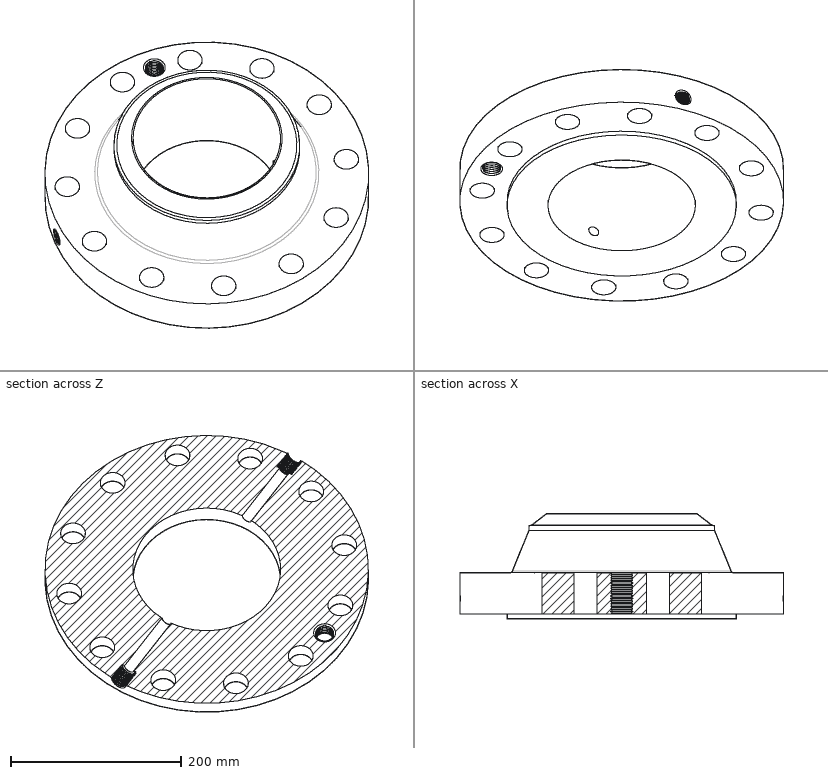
import cadquery as cq

flange_diameter = 381
flange_top = 54.5
raised_face_diameter = 269.7
raised_face_height = 5.7

neck_top = 124.0
bore_diameter = 173.5
hub_base_radius = 129.5
hub_fillet_radius = 3.5
pipe_radius = 109.5
collar_bottom = 104.0
collar_top = 109.7
bevel_base_radius = 106.0
bevel_base = 110.5
weld_land = 2.0

bolt_count = 12
bolt_hole_diameter = 28.5
bolt_circle_radius = 165.5

jack_minor_diameter = 21.5
jack_major_diameter = 25.5
jack_turns = 16

tap_height = 24.0
tap_drill_diameter = 12.5
tap_minor_diameter = 16.8
tap_major_diameter = 21.0
tap_pitch = 2.0
tap_turns = 12


def make_body():
    """Revolve the flange, hub and weld bevel about Z."""
    bore_radius = bore_diameter / 2
    profile = (
        cq.Workplane("XZ")
        .moveTo(bore_radius, 0)
        .lineTo(raised_face_diameter / 2, 0)
        .lineTo(raised_face_diameter / 2, raised_face_height)
        .lineTo(flange_diameter / 2, raised_face_height)
        .lineTo(flange_diameter / 2, flange_top)
        .lineTo(hub_base_radius, flange_top)
        .lineTo(pipe_radius, collar_bottom)
        .lineTo(pipe_radius, collar_top)
        .lineTo(bevel_base_radius, bevel_base)
        .lineTo(bore_radius + weld_land, neck_top)
        .lineTo(bore_radius, neck_top)
        .close()
    )
    body = profile.revolve(360, (0, 0, 0), (0, 1, 0))
    margin = 0.5
    reach = hub_base_radius + margin
    foot_box = cq.selectors.BoxSelector(
        (-reach, -reach, flange_top - margin),
        (reach, reach, flange_top + margin),
        boundingbox=True,
    )
    return body.edges(foot_box).fillet(hub_fillet_radius)


def threaded_cutter(minor_diameter, major_diameter, pitch, turns):
    """Plug along +Z from the origin with ring-shaped V ridges that leave thread grooves."""
    minor_radius = minor_diameter / 2
    major_radius = major_diameter / 2
    outline = cq.Workplane("XZ").lineTo(major_radius, 0)
    for turn in range(turns):
        outline = outline.lineTo(minor_radius, (turn + 0.5) * pitch)
        outline = outline.lineTo(major_radius, (turn + 1) * pitch)
    outline = outline.lineTo(0, turns * pitch).close()
    return outline.revolve(360, (0, 0, 0), (0, 1, 0))


def make_bolt_holes():
    """Bolt holes straddling the X and Y axes."""
    return (
        cq.Workplane("XY")
        .polarArray(bolt_circle_radius, 180 / bolt_count, 360, bolt_count)
        .circle(bolt_hole_diameter / 2)
        .extrude(flange_top)
    )


def make_jack_hole():
    """Threaded hole through the flange on the -X side."""
    flange_thickness = flange_top - raised_face_height
    jack_pitch = flange_thickness / jack_turns
    cutter = threaded_cutter(jack_minor_diameter, jack_major_diameter, jack_pitch, jack_turns)
    return cutter.translate((-bolt_circle_radius, 0, raised_face_height))


def make_taps():
    """Threaded taps in the rim at -Y and +Y, drilled on into the bore."""
    rim = flange_diameter / 2
    thread = threaded_cutter(tap_minor_diameter, tap_major_diameter, tap_pitch, tap_turns)
    front_thread = thread.rotate((0, 0, 0), (1, 0, 0), -90).translate((0, -rim, tap_height))
    back_thread = front_thread.mirror("XZ")
    drill = (
        cq.Workplane("XZ", origin=(0, rim, tap_height))
        .circle(tap_drill_diameter / 2)
        .extrude(flange_diameter)
    )
    return drill.union(front_thread).union(back_thread)


result = make_body().cut(make_bolt_holes()).cut(make_jack_hole()).cut(make_taps())